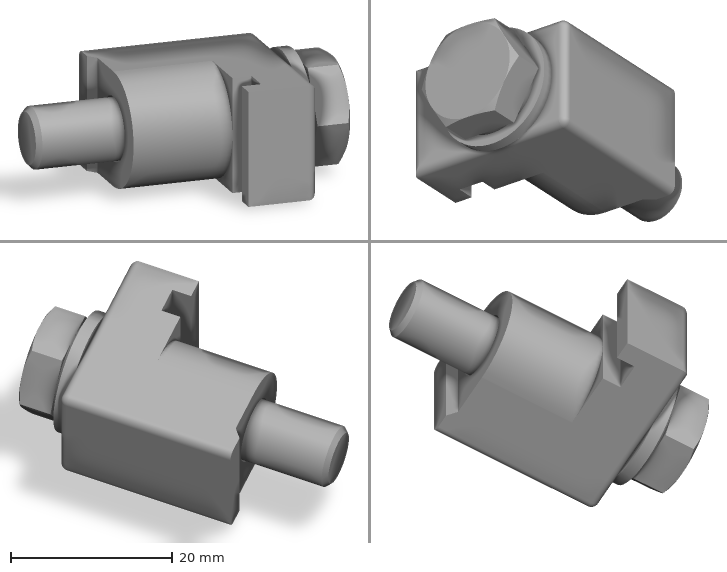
import cadquery as cq
import math


clamp_height = 15.0
boss_radius = clamp_height / 2
left_reach = 10.0
slot_width = 3.5
hook_width = 2.5
slot_depth = 6.5
hook_depth = 9.03
foot_depth = 22.05
lip_rise = 1.0
lip_width = 2.95
lip_slope_width = 1.2
edge_radius = 1.0
clearance_diameter = 8.4

washer_diameter = 15.95
washer_thickness = 1.6

overall_length = 40.3
shank_diameter = 7.98
shank_chamfer = 0.65
across_flats = 12.98
collar_height = 0.6
head_height = 4.65
head_sides = 6
head_bevel_angle = 30.0

left_x = -left_reach
slot_end_x = boss_radius + slot_width
right_x = slot_end_x + hook_width
lip_y = -(foot_depth + lip_rise)
collar_base_y = washer_thickness
head_base_y = collar_base_y + collar_height
head_end_y = head_base_y + head_height
shank_tip_y = head_end_y - overall_length


def cylinder_along_y(diameter, start_y, end_y):
    """Solid cylinder on the bolt axis between two Y positions."""
    return (
        cq.Workplane("XZ", origin=(0, end_y, 0))
        .circle(diameter / 2)
        .extrude(end_y - start_y)
    )


def make_clamp():
    """Hooked block with a half-round boss, a sloped lip and a clearance hole."""
    block = (
        cq.Workplane("XY")
        .moveTo(left_x, 0)
        .lineTo(right_x, 0)
        .lineTo(right_x, -hook_depth)
        .lineTo(slot_end_x, -hook_depth)
        .lineTo(slot_end_x, -slot_depth)
        .lineTo(boss_radius, -slot_depth)
        .lineTo(boss_radius, -hook_depth)
        .lineTo(0, -hook_depth)
        .lineTo(0, -foot_depth)
        .lineTo(left_x + lip_width + lip_slope_width, -foot_depth)
        .lineTo(left_x + lip_width, lip_y)
        .lineTo(left_x, lip_y)
        .close()
        .extrude(clamp_height / 2, both=True)
    )
    block = block.edges(">Y or (<X and |Y)").fillet(edge_radius)

    boss = cylinder_along_y(2 * boss_radius, -foot_depth, -slot_depth)
    hole = cylinder_along_y(clearance_diameter, -foot_depth, 0)
    return block.union(boss).cut(hole)


def make_washer():
    """Flat ring between the clamp and the bolt head."""
    disc = cylinder_along_y(washer_diameter, 0, washer_thickness)
    return disc.cut(cylinder_along_y(clearance_diameter, 0, washer_thickness))


def make_bolt_head():
    """Hexagon with its corners bevelled by a cone touching the flats at the end face."""
    corner_radius = across_flats / 2 / math.cos(math.pi / head_sides)
    prism = (
        cq.Workplane("XZ", origin=(0, head_end_y, 0))
        .polygon(head_sides, 2 * corner_radius)
        .extrude(head_height)
    )
    flat_radius = across_flats / 2
    bevel_drop = (corner_radius - flat_radius) * math.tan(math.radians(head_bevel_angle))
    bevel_envelope = (
        cq.Workplane("XY")
        .moveTo(0, head_base_y)
        .lineTo(corner_radius, head_base_y)
        .lineTo(corner_radius, head_end_y - bevel_drop)
        .lineTo(flat_radius, head_end_y)
        .lineTo(0, head_end_y)
        .close()
        .revolve(360, (0, 0, 0), (0, 1, 0))
    )
    return prism.intersect(bevel_envelope)


def make_bolt():
    """Hexagon head, round collar under it and a plain shank with a chamfered tip."""
    shank = cylinder_along_y(shank_diameter, shank_tip_y, head_base_y)
    shank = shank.faces("<Y").chamfer(shank_chamfer)
    collar = cylinder_along_y(across_flats, collar_base_y, head_base_y)
    return make_bolt_head().union(collar).union(shank)


clamp = make_clamp()
washer = make_washer()
bolt = make_bolt()

result = cq.Compound.makeCompound([clamp.solids().val(), washer.solids().val(), bolt.solids().val()])